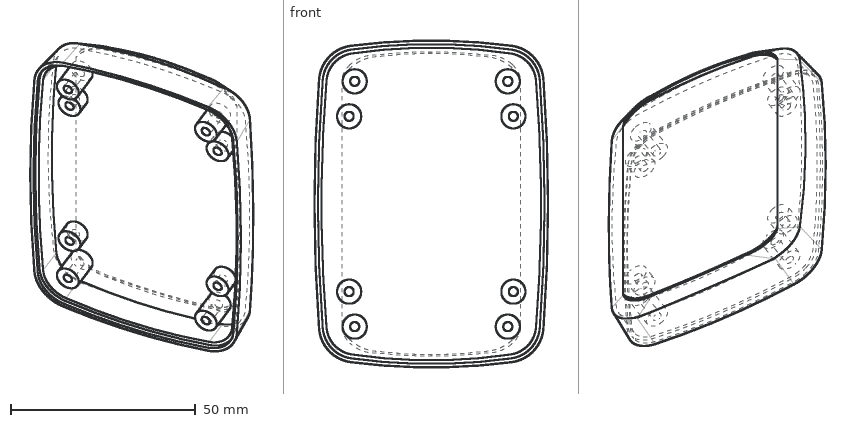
import cadquery as cq
import math


HALF_WIDTH = 63.2 / 2
HALF_HEIGHT = 88.45 / 2
CORNER_X = 29.7
CORNER_Z = 41.6
CORNER_RADIUS = 10.0

DEPTH = 14.3
DRAFT_ANGLE = 5.0

LEDGE_INSET = 1.0
LEDGE_DEPTH = 1.2
CAVITY_INSET = 1.95
FLOOR_Y = 9.55

CROWN_BASE = (9.2, 44.3, (22.9, 42.3), (31.3, 33.4), 2.6)
CROWN_TOP = (14.5, 41.0, (13.5, 40.1), (21.6, 34.5), 1.6)

BACK_EDGE_X = 24.6
BACK_EDGE_Y = 13.1

RECESS_FLOOR_Y = BACK_EDGE_Y
RECESS_END_MID = 40.8
RECESS_END_CORNER = (14.15, 39.9)
RECESS_SIDE_CORNER = (24.2, 33.8)
RECESS_BULGE = 1.6

POSTS = [
    (20.7, 33.2, 0.8),
    (22.2, 23.7, 4.95),
]
POST_DIAMETER = 6.55
POST_HOLE_DIAMETER = 2.5
POST_HOLE_FLOOR = 0.9
POST_EMBED = 0.2

CLEARANCE = 8.85


def plane_at(y):
    """Workplane parallel to XZ at the given Y; it extrudes toward -Y."""
    return cq.Workplane("XZ", origin=(0, y, 0))


def rim_outline(y, inset):
    """Rounded outline of the enclosure at the given Y, shrunk by inset."""
    x = CORNER_X - inset
    z = CORNER_Z - inset
    mid_x = HALF_WIDTH - inset
    mid_z = HALF_HEIGHT - inset
    wire = (
        plane_at(y)
        .moveTo(x, -z)
        .threePointArc((mid_x, 0), (x, z))
        .threePointArc((0, mid_z), (-x, z))
        .threePointArc((-mid_x, 0), (-x, -z))
        .threePointArc((0, -mid_z), (x, -z))
        .close()
        .val()
    )
    return wire.fillet2D(CORNER_RADIUS - inset, wire.Vertices())


def crown_outline(y, end_mid, end_corner, side_corner, bulge):
    """Outline with straight long sides, arched ends and bulging corners."""
    end_x, end_z = end_corner
    side_x, side_z = side_corner
    chord = math.hypot(side_x - end_x, end_z - side_z)
    mid_x = (end_x + side_x) / 2 + bulge * (end_z - side_z) / chord
    mid_z = (end_z + side_z) / 2 + bulge * (side_x - end_x) / chord
    return (
        plane_at(y)
        .moveTo(side_x, -side_z)
        .lineTo(side_x, side_z)
        .threePointArc((mid_x, mid_z), (end_x, end_z))
        .threePointArc((0, end_mid), (-end_x, end_z))
        .threePointArc((-mid_x, mid_z), (-side_x, side_z))
        .lineTo(-side_x, -side_z)
        .threePointArc((-mid_x, -mid_z), (-end_x, -end_z))
        .threePointArc((0, -end_mid), (end_x, -end_z))
        .threePointArc((mid_x, -mid_z), (side_x, -side_z))
        .close()
        .val()
    )


def loft(start, end):
    return cq.Workplane(cq.Solid.makeLoft([start, end], True))


def prism(wire, length):
    """Extrude a closed outline toward +Y."""
    return cq.Workplane(cq.Solid.extrudeLinear(wire, [], cq.Vector(0, length, 0)))


def drafted_body():
    top_y = CROWN_TOP[0]
    inset = top_y * math.tan(math.radians(DRAFT_ANGLE))
    return loft(rim_outline(0, 0), rim_outline(top_y, inset))


def crown_limit():
    """Everything below the sloping band of the crown."""
    base_y = CROWN_BASE[0]
    below = plane_at(base_y).rect(
        2 * (HALF_WIDTH + CLEARANCE), 2 * (HALF_HEIGHT + CLEARANCE)
    ).extrude(base_y)
    return below.union(loft(crown_outline(*CROWN_BASE), crown_outline(*CROWN_TOP)))


def arched_back_limit():
    """Everything below the back surface, an arc in XY carried along Z."""
    half_width = HALF_WIDTH + CLEARANCE
    half_length = HALF_HEIGHT + CLEARANCE
    edge_drop = DEPTH - BACK_EDGE_Y
    radius = (BACK_EDGE_X**2 + edge_drop**2) / (2 * edge_drop)
    side_y = DEPTH - radius + math.sqrt(radius**2 - half_width**2)
    return (
        cq.Workplane("XY", origin=(0, 0, -half_length))
        .moveTo(-half_width, -CLEARANCE)
        .lineTo(-half_width, side_y)
        .threePointArc((0, DEPTH), (half_width, side_y))
        .lineTo(half_width, -CLEARANCE)
        .close()
        .extrude(2 * half_length)
    )


def back_recess():
    outline = crown_outline(
        RECESS_FLOOR_Y, RECESS_END_MID, RECESS_END_CORNER, RECESS_SIDE_CORNER, RECESS_BULGE
    )
    return prism(outline, CLEARANCE)


def cavity():
    ledge = prism(rim_outline(0, LEDGE_INSET), LEDGE_DEPTH)
    return ledge.union(prism(rim_outline(0, CAVITY_INSET), FLOOR_Y))


def post_cylinders(x, z, top_y, diameter, bottom_y):
    """Four mirrored cylinders along Y, from top_y to bottom_y."""
    spots = [(x, z), (-x, z), (x, -z), (-x, -z)]
    return plane_at(bottom_y).pushPoints(spots).circle(diameter / 2).extrude(bottom_y - top_y)


result = drafted_body().intersect(crown_limit()).intersect(arched_back_limit())
result = result.cut(back_recess()).cut(cavity())
for post_x, post_z, post_top in POSTS:
    posts = post_cylinders(post_x, post_z, post_top, POST_DIAMETER, FLOOR_Y + POST_EMBED)
    holes = post_cylinders(post_x, post_z, post_top, POST_HOLE_DIAMETER, FLOOR_Y - POST_HOLE_FLOOR)
    result = result.union(posts).cut(holes)